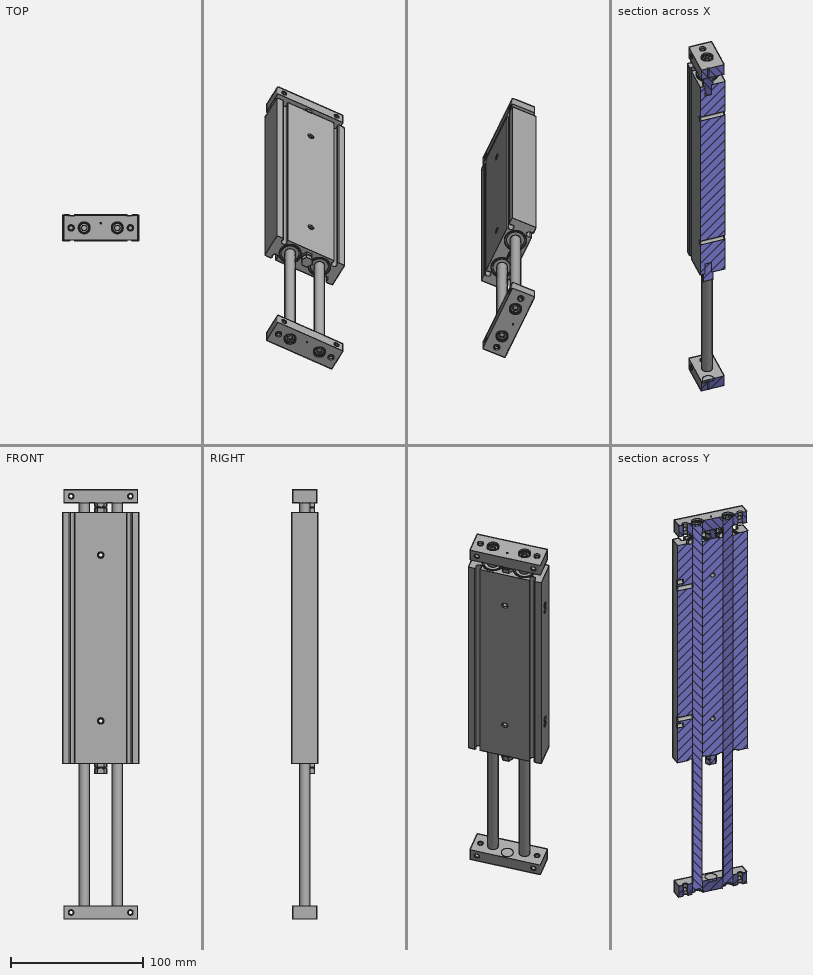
import cadquery as cq
import math


total_length = 325.0
plate_thickness = 10.0
upper_gap = 7.0
housing_length = 190.0
housing_top = total_length - plate_thickness - upper_gap
housing_bottom = housing_top - housing_length
housing_middle = (housing_top + housing_bottom) / 2

housing_width = 58.0
housing_depth = 20.0
flat_half_width = 26.0
crown_radius = 13.0
crown_run = housing_width / 2 - flat_half_width
crown_drop = crown_radius - math.sqrt(crown_radius**2 - crown_run**2)
crown_middle_drop = crown_radius - math.sqrt(crown_radius**2 - (crown_run / 2) ** 2)

slot_x = 21.5
slot_diameter = 4.2
slot_opening = 3.2
slot_center_depth = 2.5
slot_bevel = 0.8

rod_diameter = 8.0
rod_spacing = 25.0
rod_end_chamfer = 0.5
rod_recess_diameter = 9.0
rod_recess_depth = 1.5
socket_corner_diameter = 4.5
socket_depth = 2.0
rod_xs = (-rod_spacing / 2, rod_spacing / 2)

seal_steps = ((17.0, 0.3), (16.0, 0.5), (13.5, 1.0))

hole_diameter = 3.2
small_mouth_diameter = 4.2
large_mouth_diameter = 5.0
mounting_offset = 62.7
port_offset = 57.2
blind_hole_depth = 5.0

plate_width = 56.0
plate_depth = 18.5
plate_corner_radius = 0.5
plate_hole_x = 22.5
vent_diameter = 1.0

stop_y = 3.5
hex_corner_diameter = 9.0
hex_flat_diameter = hex_corner_diameter * math.cos(math.radians(30))
hex_chamfer_height = 1.0
collar_height = 0.5
upper_nut_height = 3.2
upper_head_height = upper_gap - upper_nut_height
lower_nut_height = 2.5
lower_head_height = 5.0
shank_diameter = 5.0
shank_length = 9.8
bumper_diameter = 9.0
bumper_thickness = 2.0


def cylinder(diameter, length, start, direction):
    """A cylinder from a start point along a direction."""
    return cq.Workplane(cq.Solid.makeCylinder(diameter / 2, length, cq.Vector(*start), cq.Vector(*direction)))


def cone(start_diameter, end_diameter, length, start, direction):
    """A cone frustum from a start point along a direction."""
    return cq.Workplane(cq.Solid.makeCone(
        start_diameter / 2, end_diameter / 2, length, cq.Vector(*start), cq.Vector(*direction)))


def screw_hole(mouth_diameter, length, start, direction):
    """Cutter for a screw hole with a 45 degree conical mouth at its start."""
    mouth_depth = (mouth_diameter - hole_diameter) / 2
    mouth = cone(mouth_diameter, hole_diameter, mouth_depth, start, direction)
    return cylinder(hole_diameter, length, start, direction).union(mouth)


def hexagon(height, start_z, direction):
    """A hexagonal prism on the stop axis, from start_z up (direction 1) or down (direction -1)."""
    base = cq.Workplane("XY", origin=(0, stop_y, start_z))
    return base.polygon(6, hex_corner_diameter).extrude(direction * height)


def make_sensor_slot(x_side, y_side):
    """Cutter for one sensor slot, running the whole length of the housing."""
    x = x_side * slot_x
    face_y = y_side * housing_depth / 2
    center_y = face_y - y_side * slot_center_depth
    groove = cylinder(slot_diameter, housing_length, (x, center_y, housing_bottom), (0, 0, 1))

    outer_edge = x + x_side * slot_opening / 2
    inner_edge = x - x_side * slot_opening / 2
    mouth = (
        cq.Workplane("XY", origin=(0, 0, housing_bottom))
        .polyline([
            (inner_edge, center_y),
            (inner_edge, face_y),
            (outer_edge + x_side * slot_bevel, face_y),
            (outer_edge, face_y - y_side * slot_bevel),
            (outer_edge, center_y),
        ])
        .close()
        .extrude(housing_length)
    )
    return groove.union(mouth)


def make_housing_blank():
    """The housing section without slots or holes."""
    half_width = housing_width / 2
    half_depth = housing_depth / 2
    crown_middle_x = flat_half_width + crown_run / 2
    middle_y = half_depth - crown_middle_drop
    corner_y = half_depth - crown_drop
    return (
        cq.Workplane("XY", origin=(0, 0, housing_bottom))
        .moveTo(-flat_half_width, half_depth)
        .lineTo(flat_half_width, half_depth)
        .threePointArc((crown_middle_x, middle_y), (half_width, corner_y))
        .lineTo(half_width, -corner_y)
        .threePointArc((crown_middle_x, -middle_y), (flat_half_width, -half_depth))
        .lineTo(-flat_half_width, -half_depth)
        .threePointArc((-crown_middle_x, -middle_y), (-half_width, -corner_y))
        .lineTo(-half_width, corner_y)
        .threePointArc((-crown_middle_x, middle_y), (-flat_half_width, half_depth))
        .close()
        .extrude(housing_length)
    )


def make_housing():
    housing = make_housing_blank()

    for x_side in (-1, 1):
        for y_side in (-1, 1):
            housing = housing.cut(make_sensor_slot(x_side, y_side))

    for x in rod_xs:
        housing = housing.cut(cylinder(rod_diameter, housing_length, (x, 0, housing_bottom), (0, 0, 1)))
    for end_z, inward in ((housing_bottom, 1), (housing_top, -1)):
        for x in rod_xs:
            for diameter, depth in seal_steps:
                housing = housing.cut(cylinder(diameter, depth, (x, 0, end_z), (0, 0, inward)))
        housing = housing.cut(cylinder(shank_diameter, shank_length, (0, stop_y, end_z), (0, 0, inward)))

    side_x = -housing_width / 2
    port_length = rod_xs[0] - side_x
    for end in (-1, 1):
        mounting_z = housing_middle + end * mounting_offset
        port_z = housing_middle + end * port_offset
        for y_side in (-1, 1):
            start = (0, y_side * housing_depth / 2, mounting_z)
            housing = housing.cut(screw_hole(large_mouth_diameter, housing_depth, start, (0, -y_side, 0)))
        blind_hole = screw_hole(small_mouth_diameter, blind_hole_depth, (side_x, 0, mounting_z), (1, 0, 0))
        port = screw_hole(large_mouth_diameter, port_length, (side_x, 0, port_z), (1, 0, 0))
        housing = housing.cut(blind_hole).cut(port)
    return housing


def make_end_plate(outer_z, inward):
    """An end plate, from its outer face at outer_z inward along Z."""
    middle_z = outer_z + inward * plate_thickness / 2
    inner_z = outer_z + inward * plate_thickness
    plate = cq.Workplane("XY").box(plate_width, plate_depth, plate_thickness)
    plate = plate.edges("|Z").fillet(plate_corner_radius).translate((0, 0, middle_z))

    for x in rod_xs:
        start = (x, 0, outer_z)
        plate = plate.cut(cylinder(rod_diameter, plate_thickness, start, (0, 0, inward)))
        plate = plate.cut(cylinder(rod_recess_diameter, rod_recess_depth, start, (0, 0, inward)))

    for x in (-plate_hole_x, plate_hole_x):
        plate = plate.cut(screw_hole(large_mouth_diameter, plate_thickness, (x, 0, outer_z), (0, 0, inward)))
        plate = plate.cut(screw_hole(small_mouth_diameter, plate_thickness, (x, 0, inner_z), (0, 0, -inward)))
        for y_side in (-1, 1):
            start = (x, y_side * plate_depth / 2, middle_z)
            plate = plate.cut(screw_hole(small_mouth_diameter, plate_depth, start, (0, -y_side, 0)))

    return plate.cut(cylinder(vent_diameter, plate_thickness, (0, stop_y, outer_z), (0, 0, inward)))


def make_rod(x):
    """A rod with chamfered ends and a hexagonal socket in each end."""
    length = total_length - 2 * rod_recess_depth
    rod = cylinder(rod_diameter, length, (x, 0, rod_recess_depth), (0, 0, 1))
    rod = rod.faces("<Z or >Z").chamfer(rod_end_chamfer)
    for end_z, inward in ((rod_recess_depth, 1), (total_length - rod_recess_depth, -1)):
        base = cq.Workplane("XY", origin=(x, 0, end_z))
        rod = rod.cut(base.polygon(6, socket_corner_diameter).extrude(inward * socket_depth))
    return rod


def make_stop_bolt(housing_end_z, outward, nut_height, head_height):
    """A shank in the housing, a nut section against it, a round collar and a head chamfered at the collar."""
    shank = cylinder(shank_diameter, shank_length, (0, stop_y, housing_end_z), (0, 0, -outward))
    nut = hexagon(nut_height, housing_end_z, outward)

    collar_z = housing_end_z + outward * nut_height
    head_z = collar_z + outward * collar_height
    chamfer_end_z = head_z + outward * hex_chamfer_height
    outward_axis = (0, 0, outward)
    collar = cylinder(hex_flat_diameter, collar_height, (0, stop_y, collar_z), outward_axis)

    hex_height = head_height - collar_height
    chamfer_cone = cone(
        hex_flat_diameter, hex_corner_diameter, hex_chamfer_height, (0, stop_y, head_z), outward_axis)
    full_round = cylinder(
        hex_corner_diameter, hex_height - hex_chamfer_height, (0, stop_y, chamfer_end_z), outward_axis)
    head = hexagon(hex_height, head_z, outward).intersect(chamfer_cone.union(full_round))
    return shank.union(nut).union(collar).union(head)


def make_bumper():
    """A disc let into the inner face of the lower end plate."""
    start = (0, stop_y, plate_thickness - bumper_thickness)
    return cylinder(bumper_diameter, bumper_thickness, start, (0, 0, 1))


housing = make_housing()
bumper = make_bumper()
upper_plate = make_end_plate(total_length, -1)
lower_plate = make_end_plate(0, 1).cut(bumper)
rods = [make_rod(x) for x in rod_xs]
upper_stop = make_stop_bolt(housing_top, 1, upper_nut_height, upper_head_height)
lower_stop = make_stop_bolt(housing_bottom, -1, lower_nut_height, lower_head_height)

result = cq.Compound.makeCompound([
    housing.val(),
    upper_plate.val(),
    lower_plate.val(),
    *[rod.val() for rod in rods],
    upper_stop.val(),
    lower_stop.val(),
    bumper.val(),
])